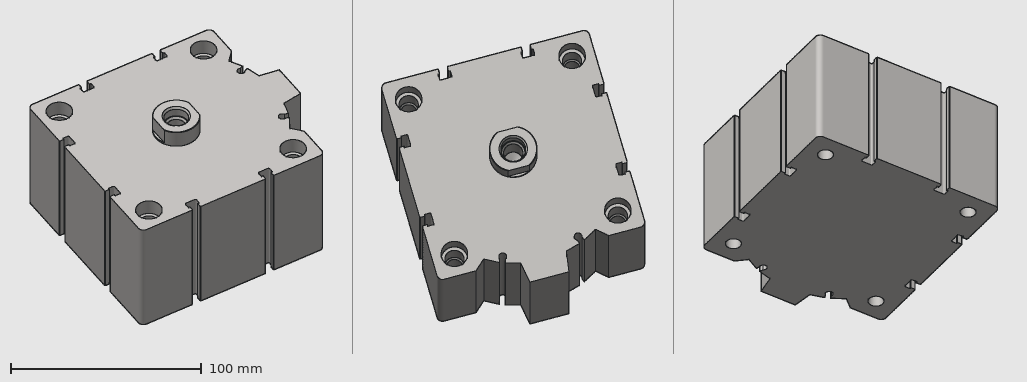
import math

import cadquery as cq

side = 113.0
half_side = side / 2
housing_height = 68.0
corner_radius = 3.0

overall_depth = 126.7
rib_top_y = overall_depth - half_side
rib_top_half_width = 10.6
rib_root = (12.4, 58.8)
shoulder_knee = (21.8, 56.1)
notch_bottom = (30.4, 51.3)
notch_outer_x = 36.1

groove_centre = (20.5, 52.7)
groove_diameter = 4.0
groove_neck_width = 3.0
groove_neck_length = 6.3
groove_tilt = 20

slot_offset = 22.5
slot_neck_width = 4.8
slot_neck_depth = 2.8
slot_mouth_chamfer = 0.4
slot_inner_width = 6.7
slot_depth = 6.2
slot_corner_radius = 0.6

mount_offset = 44.5
mount_hole_diameter = 8.4
mount_counterbore_diameter = 14.0
mount_counterbore_depth = 9.0
mount_thread_diameter = 10.1
mount_thread_depth = 20.3

rod_diameter = 25.0
rod_radius = rod_diameter / 2
rod_projection = 10.0
rod_insertion = 38.0
rod_bottom_z = housing_height - rod_insertion
rod_top_z = housing_height + rod_projection
rod_chamfer = 0.3
flat_width = 22.0
collar_height = 1.0

countersink_diameter = 14.8
countersink_depth = 1.3
recess_diameter = 13.0
recess_depth = 6.0
thread_mouth_diameter = 12.2
thread_mouth_depth = 1.3
drill_diameter = 10.1
drill_depth = 20.3
drill_tip_half_angle = 59


def housing_block():
    """Square block with a tapered rib and two V-notches on its +Y face."""
    right_side = [
        (half_side, -half_side),
        (half_side, half_side),
        (notch_outer_x, half_side),
        notch_bottom,
        shoulder_knee,
        rib_root,
        (rib_top_half_width, rib_top_y),
    ]
    left_side = [(-x, y) for x, y in reversed(right_side)]
    block = cq.Workplane("XY").polyline(right_side + left_side).close().extrude(housing_height)
    corner_edges = block.edges("|Z and (>X or <X)")
    return corner_edges.fillet(corner_radius)


def sensor_groove():
    """Cutter for the groove on the +X shoulder: a round bottom below a narrower neck."""
    neck = (
        cq.Workplane("XY")
        .center(0, groove_neck_length / 2)
        .rect(groove_neck_width, groove_neck_length)
        .extrude(housing_height)
    )
    round_bottom = cq.Workplane("XY").circle(groove_diameter / 2).extrude(housing_height)
    return (
        round_bottom.union(neck)
        .rotate((0, 0, 0), (0, 0, 1), -groove_tilt)
        .translate((*groove_centre, 0))
    )


def t_slot(offset):
    """Cutter for one T-slot opening through the -Y face at X = offset."""
    neck_half = slot_neck_width / 2
    mouth_half = neck_half + slot_mouth_chamfer
    inner_half = slot_inner_width / 2
    face_y = -half_side
    step_y = face_y + slot_neck_depth
    end_y = face_y + slot_depth
    right_side = [
        (mouth_half, face_y),
        (neck_half, face_y + slot_mouth_chamfer),
        (neck_half, step_y),
        (inner_half, step_y),
        (inner_half, end_y),
    ]
    left_side = [(-x, y) for x, y in reversed(right_side)]
    slot = cq.Workplane("XY").polyline(right_side + left_side).close().extrude(housing_height)
    return slot.faces(">Y").edges("|Z").fillet(slot_corner_radius).translate((offset, 0, 0))


def mounting_hole():
    """Cutter for one mounting hole: counterbore, thread, cone and through hole."""
    bore_radius = mount_hole_diameter / 2
    thread_radius = mount_thread_diameter / 2
    counterbore_radius = mount_counterbore_diameter / 2
    counterbore_z = housing_height - mount_counterbore_depth
    thread_z = housing_height - mount_thread_depth
    cone_height = thread_radius - bore_radius
    profile = [
        (0, 0),
        (bore_radius, 0),
        (bore_radius, thread_z - cone_height),
        (thread_radius, thread_z),
        (thread_radius, counterbore_z),
        (counterbore_radius, counterbore_z),
        (counterbore_radius, housing_height),
        (0, housing_height),
    ]
    return cq.Workplane("XZ").polyline(profile).close().revolve(360, (0, 0), (0, 1))


def make_housing():
    """Block with its sensor grooves, T-slots, mounting holes and blind bore for the rod."""
    housing = housing_block()
    groove = sensor_groove()
    housing = housing.cut(groove).cut(groove.mirror("YZ"))
    for face_angle in (0, 90, -90):
        for offset in (-slot_offset, slot_offset):
            housing = housing.cut(t_slot(offset).rotate((0, 0, 0), (0, 0, 1), face_angle))
    for x in (-mount_offset, mount_offset):
        for y in (-mount_offset, mount_offset):
            housing = housing.cut(mounting_hole().translate((x, y, 0)))
    rod_bore = cq.Workplane("XY").workplane(offset=rod_bottom_z).circle(rod_radius).extrude(rod_insertion)
    return housing.cut(rod_bore)


def rod_hole():
    """Cutter for the rod's hole: countersink, flat-bottomed recess, thread mouth cone, drill and point."""
    countersink_radius = countersink_diameter / 2
    recess_radius = recess_diameter / 2
    mouth_radius = thread_mouth_diameter / 2
    drill_radius = drill_diameter / 2
    recess_z = rod_top_z - recess_depth
    drill_z = rod_top_z - drill_depth
    tip_height = drill_radius / math.tan(math.radians(drill_tip_half_angle))
    profile = [
        (0, drill_z - tip_height),
        (drill_radius, drill_z),
        (drill_radius, recess_z - thread_mouth_depth),
        (mouth_radius, recess_z),
        (recess_radius, recess_z),
        (recess_radius, rod_top_z - countersink_depth),
        (countersink_radius, rod_top_z),
        (0, rod_top_z),
    ]
    return cq.Workplane("XZ").polyline(profile).close().revolve(360, (0, 0), (0, 1))


def make_rod():
    """Round rod with a chamfered end, two wrench flats above a low collar and a stepped hole."""
    rod = (
        cq.Workplane("XY")
        .workplane(offset=rod_bottom_z)
        .circle(rod_radius)
        .extrude(rod_insertion + rod_projection)
        .faces(">Z")
        .edges()
        .chamfer(rod_chamfer)
    )
    flat_height = rod_projection - collar_height
    flat_depth = rod_radius - flat_width / 2
    flat_centre_y = flat_width / 2 + flat_depth / 2
    for y in (-flat_centre_y, flat_centre_y):
        flat = cq.Workplane("XY").box(rod_diameter, flat_depth, flat_height)
        rod = rod.cut(flat.translate((0, y, rod_top_z - flat_height / 2)))
    return rod.cut(rod_hole())


housing = make_housing()
rod = make_rod()
result = cq.Compound.makeCompound([housing.val(), rod.val()])